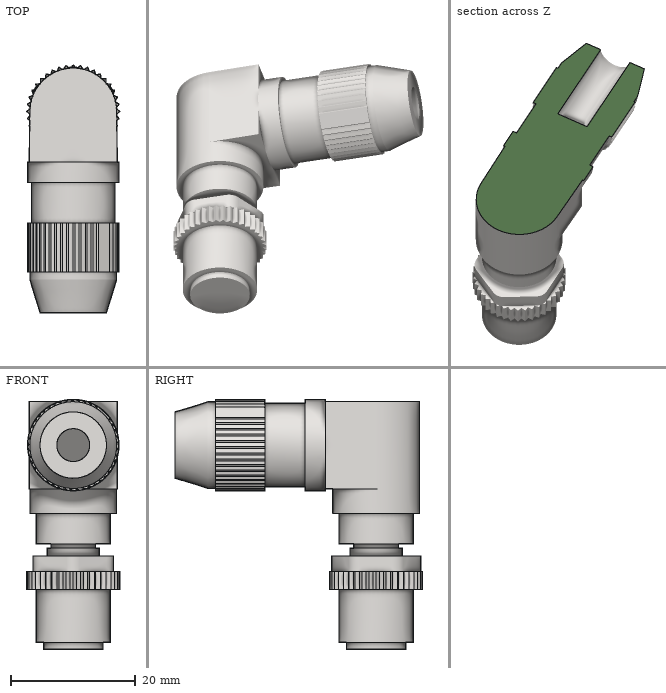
import cadquery as cq
import math


housing_radius = 7.0
block_half_width = 7.125
block_half_height = 7.05
block_front = -8.17
housing_bottom = -11.05

barrel_diameter = 12.0
upper_barrel_bottom = -15.9
neck_diameter = 7.25
neck_bottom = -16.6
shoulder_diameter = 8.45
shoulder_bottom = -17.85
hex_bottom = -20.35
gear_bottom = -23.3
lower_barrel_bottom = -31.8
tip_diameter = 9.6
tip_bottom = -32.925

hex_across_flats = 13.0
hex_corner_radius = 2.0
gear_tip_radius = 7.5
gear_root_radius = 6.92
gear_tooth_count = 40

collar_radius = 7.375
collar_end = -11.45
sleeve_radius = 6.75
sleeve_end = -17.95
knurl_end = -25.9
nose_radius = 7.0
cone_start = -27.1
cone_end_radius = 5.35
outlet_end = -32.45
bore_diameter = 5.3

knurl_tip_radius = collar_radius
knurl_depth = 0.22
knurl_root_radius = knurl_tip_radius - knurl_depth
knurl_tip_pitch = 360 / 46
knurl_root_pitch = 8.1
knurl_halves = [(135, 21), (315, 22)]


def polar(radius, degrees):
    """Point at a radius and an angle from +X."""
    angle = math.radians(degrees)
    return (radius * math.cos(angle), radius * math.sin(angle))


def disc(diameter, top, bottom):
    """Upright cylinder on the plug axis."""
    return cq.Workplane("XY").workplane(offset=bottom).circle(diameter / 2).extrude(top - bottom)


def make_housing():
    """Upright cylinder that widens into a square-faced block on the outlet side."""
    corner_distance = math.hypot(block_half_width, block_front)
    tangent_angle = math.atan2(block_front, block_half_width) + math.acos(housing_radius / corner_distance)
    tangent_x, tangent_y = polar(housing_radius, math.degrees(tangent_angle))
    block = (
        cq.Workplane("XY")
        .workplane(offset=-block_half_height)
        .moveTo(block_half_width, block_front)
        .lineTo(tangent_x, tangent_y)
        .threePointArc((0, housing_radius), (-tangent_x, tangent_y))
        .lineTo(-block_half_width, block_front)
        .close()
        .extrude(2 * block_half_height)
    )
    return block.union(disc(2 * housing_radius, block_half_height, housing_bottom))


def make_hexagon():
    """Hexagon with flats facing +X and -X and rounded corners."""
    circumscribed_diameter = hex_across_flats / math.cos(math.pi / 6)
    return (
        cq.Workplane("XY")
        .workplane(offset=hex_bottom)
        .transformed(rotate=(0, 0, 90))
        .polygon(6, circumscribed_diameter)
        .extrude(shoulder_bottom - hex_bottom)
        .edges("|Z")
        .fillet(hex_corner_radius)
    )


def make_gear():
    """Grip ring with V-shaped teeth, one tip on each of the X and Y axes."""
    pitch = 360 / gear_tooth_count
    points = []
    for tooth in range(gear_tooth_count):
        points.append(polar(gear_tip_radius, tooth * pitch))
        points.append(polar(gear_root_radius, (tooth + 0.5) * pitch))
    return (
        cq.Workplane("XY")
        .workplane(offset=gear_bottom)
        .polyline(points)
        .close()
        .extrude(hex_bottom - gear_bottom)
    )


def make_plug():
    """Everything below the housing, stacked on the plug axis."""
    plug = disc(barrel_diameter, housing_bottom, upper_barrel_bottom)
    plug = plug.union(disc(neck_diameter, upper_barrel_bottom, neck_bottom))
    plug = plug.union(disc(shoulder_diameter, neck_bottom, shoulder_bottom))
    plug = plug.union(make_hexagon())
    plug = plug.union(make_gear())
    plug = plug.union(disc(barrel_diameter, gear_bottom, lower_barrel_bottom))
    return plug.union(disc(tip_diameter, lower_barrel_bottom, tip_bottom))


def make_outlet():
    """Turned cable outlet: collar, sleeve, nut core, nose and cone."""
    profile = [
        (0, block_front),
        (collar_radius, block_front),
        (collar_radius, collar_end),
        (sleeve_radius, collar_end),
        (sleeve_radius, sleeve_end),
        (nose_radius, sleeve_end),
        (nose_radius, cone_start),
        (cone_end_radius, outlet_end),
        (0, outlet_end),
    ]
    return cq.Workplane("XY").polyline(profile).close().revolve(360, (0, 0, 0), (0, 1, 0))


def make_knurl():
    """Knurled grip of the outlet nut."""
    points = []
    for middle, tip_count in knurl_halves:
        for tip in range(tip_count):
            tip_steps = tip - (tip_count - 1) / 2
            points.append(polar(knurl_tip_radius, middle + tip_steps * knurl_tip_pitch))
            if tip < tip_count - 1:
                root_steps = tip_steps + 0.5
                points.append(polar(knurl_root_radius, middle + root_steps * knurl_root_pitch))
    return (
        cq.Workplane("XZ")
        .workplane(offset=-sleeve_end)
        .polyline(points)
        .close()
        .extrude(sleeve_end - knurl_end)
    )


def make_bore():
    """Blind cable bore, as deep as the outlet nut is long."""
    return (
        cq.Workplane("XZ")
        .workplane(offset=-sleeve_end)
        .circle(bore_diameter / 2)
        .extrude(sleeve_end - outlet_end)
    )


result = (
    make_housing()
    .union(make_plug())
    .union(make_outlet())
    .union(make_knurl())
    .cut(make_bore())
)